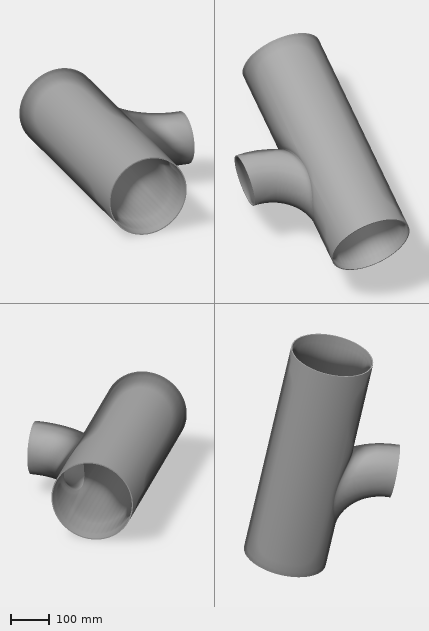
import cadquery as cq

pipe_length = 610.0
pipe_outer_radius = 219.0 / 2
pipe_inner_radius = 213.0 / 2
wall = pipe_outer_radius - pipe_inner_radius

total_depth = 339.0
branch_outer_radius = 139.5 / 2
branch_inner_radius = branch_outer_radius - wall
bend_radius = 190.5
outlet_x = pipe_length / 2
outlet_y = total_depth - pipe_outer_radius

joint_fillet = 2.0


def pipe_cylinder(radius):
    """Solid cylinder along the main pipe axis."""
    return cq.Workplane("YZ").circle(radius).extrude(pipe_length)


def elbow(radius):
    """Solid quarter bend, from the outlet face down into the main pipe."""
    outlet_plane = cq.Plane(origin=(outlet_x, outlet_y, 0), xDir=(1, 0, 0), normal=(0, 1, 0))
    axis_start = (-bend_radius, 0)
    axis_end = (-bend_radius, 1)
    return cq.Workplane(outlet_plane).circle(radius).revolve(90, axis_start, axis_end)


outer_form = pipe_cylinder(pipe_outer_radius).union(elbow(branch_outer_radius))
outer_form = outer_form.edges("%BSPLINE").fillet(joint_fillet)

result = outer_form.cut(pipe_cylinder(pipe_inner_radius)).cut(elbow(branch_inner_radius))